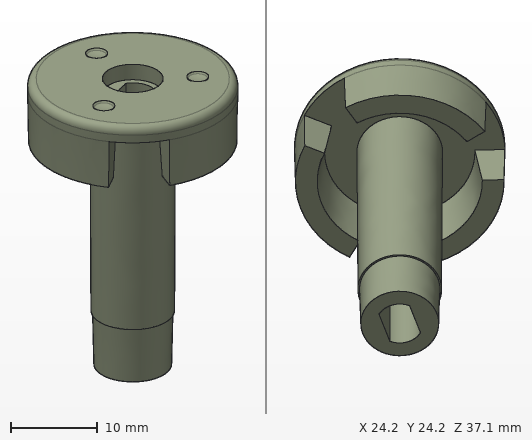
import cadquery as cq
import math

flange_radius = 12.115
flange_thickness = 2.0
flange_fillet = 1.0

total_height = 37.1
shaft_top_radius = 4.95
shaft_step_radius = 4.82
step_depth = 30.13
tip_top_radius = 4.65
tip_end_radius = 4.5

segment_count = 3
segment_height = 6.0
draft_angle = math.radians(1)
draft = segment_height * math.tan(draft_angle)
skirt_inner_top_radius = 8.65
skirt_inner_end_radius = 9.5
gap_half_angle = math.radians(16.6)
first_gap_angle = 60
gap_reach = 2 * flange_radius

socket_radius = 3.5
socket_depth = 2.0
bore_radius = 2.7
bore_width = 3.7

hole_circle_radius = 7.5
first_hole_angle = 30
hole_radius = 1.25
hole_floor_radius = 1.1
hole_wall_depth = 0.22
hole_depth = 0.35

pitch_angle = 360 / segment_count
flange_bottom = -flange_thickness
skirt_bottom = flange_bottom - segment_height


def make_flange():
    disc = cq.Workplane("XY").circle(flange_radius).extrude(-flange_thickness)
    return disc.faces(">Z").edges().fillet(flange_fillet)


def make_shaft():
    profile = [
        (0, flange_bottom),
        (shaft_top_radius, flange_bottom),
        (shaft_step_radius, -step_depth),
        (tip_top_radius, -step_depth),
        (tip_end_radius, -total_height),
        (0, -total_height),
    ]
    return cq.Workplane("XZ").polyline(profile).close().revolve(360, (0, 0), (0, 1))


def make_gap():
    """Wedge along +X, widening downward by the draft on both sides."""
    half_width = gap_reach * math.tan(gap_half_angle)
    apex_shift = draft / math.sin(gap_half_angle)
    side_shift = draft / math.cos(gap_half_angle)
    top = [(0, 0), (gap_reach, -half_width), (gap_reach, half_width)]
    end = [
        (-apex_shift, 0),
        (gap_reach, -half_width - side_shift),
        (gap_reach, half_width + side_shift),
    ]
    return (
        cq.Workplane("XY", origin=(0, 0, flange_bottom))
        .polyline(top)
        .close()
        .workplane(offset=-segment_height)
        .polyline(end)
        .close()
        .loft(ruled=True)
    )


def make_skirt():
    profile = [
        (skirt_inner_top_radius, flange_bottom),
        (flange_radius, flange_bottom),
        (flange_radius - draft, skirt_bottom),
        (skirt_inner_end_radius, skirt_bottom),
    ]
    skirt = cq.Workplane("XZ").polyline(profile).close().revolve(360, (0, 0), (0, 1))
    gap = make_gap()
    for index in range(segment_count):
        angle = first_gap_angle + index * pitch_angle
        skirt = skirt.cut(gap.rotate((0, 0, 0), (0, 0, 1), angle))
    return skirt


def make_socket():
    """Round recess above a double-flat bore running through the shaft."""
    recess = cq.Workplane("XY").circle(socket_radius).extrude(-socket_depth)
    bore = cq.Workplane("XY").circle(bore_radius).extrude(-total_height)
    flats = cq.Workplane("XY").rect(bore_width, 2 * bore_radius).extrude(-total_height)
    return recess.union(bore.intersect(flats))


def make_holes():
    """Rounded-wall holes with a shallow dished floor."""
    wall_run = hole_radius - hole_floor_radius
    wall_curve_radius = (wall_run**2 + hole_wall_depth**2) / (2 * wall_run)
    wall_middle_depth = hole_wall_depth / 2
    wall_middle_run = wall_curve_radius - math.sqrt(wall_curve_radius**2 - wall_middle_depth**2)
    wall_middle = (hole_radius - wall_middle_run, -wall_middle_depth)
    floor_sag = hole_depth - hole_wall_depth
    floor_curve_radius = (hole_floor_radius**2 + floor_sag**2) / (2 * floor_sag)
    middle_x = hole_floor_radius / 2
    middle_rise = floor_curve_radius - math.sqrt(floor_curve_radius**2 - middle_x**2)
    floor_middle = (middle_x, middle_rise - hole_depth)
    dish = (
        cq.Workplane("XZ")
        .lineTo(hole_radius, 0)
        .threePointArc(wall_middle, (hole_floor_radius, -hole_wall_depth))
        .threePointArc(floor_middle, (0, -hole_depth))
        .close()
        .revolve(360, (0, 0), (0, 1))
        .translate((hole_circle_radius, 0, 0))
    )
    holes = cq.Workplane("XY")
    for index in range(segment_count):
        angle = first_hole_angle + index * pitch_angle
        holes = holes.add(dish.rotate((0, 0, 0), (0, 0, 1), angle))
    return holes.combine()


result = make_flange().union(make_shaft()).union(make_skirt()).cut(make_socket()).cut(make_holes())